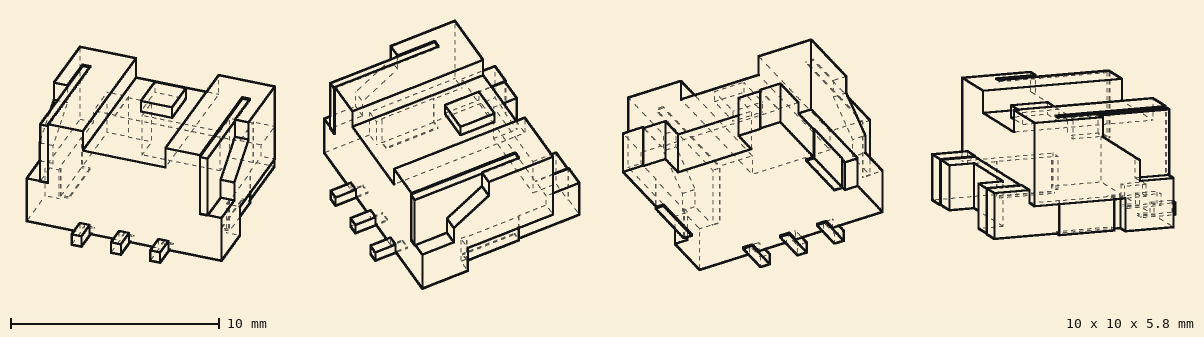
import cadquery as cq


width = 10.0
front_y = 1.1
housing_back_y = 8.2
bottom_z = 0.08
top_z = 5.8

base_half_width = 4.3
overhang_z = 1.7
overhang_front_y = 3.57

channel_width = 4.24
channel_z = 4.71
tab_width = 1.6
tab_front_y = 5.41
tab_length = 1.85
tab_top_z = 5.3

rear_y = 10.0
arm_top_z = 2.34
arm_inner_half_width = 3.2
middle_inset = 0.04
mouth_width = 4.0
mouth_y = 8.7

plate_thickness = 0.4
plate_proud = 0.04
plate_back_y = 6.73
plate_bottom_z = 2.5
plate_top_z = 5.72
cutout_low_y = 2.81
cutout_high_y = 4.71
cutout_slope_low_z = 3.51
cutout_slope_high_z = 4.83

foot_proud = 0.04
foot_front_y = 3.88
foot_length = 2.81

lead_count = 3
lead_pitch = 2.02
lead_width = 0.51
lead_length = 1.75
lead_height = 0.59

SIDES = (-1, 1)


def block(x_range, y_range, z_range):
    """Box spanning the given (low, high) ranges."""
    low, high = zip(x_range, y_range, z_range)
    size = [b - a for a, b in zip(low, high)]
    return cq.Workplane("XY").box(*size, centered=False).translate(low)


def centred_block(block_width, y_range, z_range):
    """Box centred across the connector."""
    return block((-block_width / 2, block_width / 2), y_range, z_range)


def side_block(side, inner_x, outer_x, y_range, z_range):
    """Box between two distances from the centre plane, on one side of it."""
    return block(sorted((side * inner_x, side * outer_x)), y_range, z_range)


def make_housing():
    housing = centred_block(width, (front_y, housing_back_y), (bottom_z, top_z))
    housing = housing.cut(centred_block(channel_width, (front_y, housing_back_y), (channel_z, top_z)))
    for side in SIDES:
        recess = side_block(
            side, base_half_width, width / 2, (overhang_front_y, housing_back_y), (bottom_z, overhang_z)
        )
        housing = housing.cut(recess)
    return housing


def make_tab():
    return centred_block(tab_width, (tab_front_y, tab_front_y + tab_length), (channel_z, tab_top_z))


def make_rear_base():
    rear = centred_block(
        2 * arm_inner_half_width,
        (housing_back_y, rear_y - middle_inset),
        (bottom_z, arm_top_z - middle_inset),
    )
    rear = rear.cut(centred_block(mouth_width, (mouth_y, rear_y), (bottom_z, arm_top_z)))
    for side in SIDES:
        arm = side_block(
            side, arm_inner_half_width, base_half_width, (housing_back_y, rear_y), (bottom_z, arm_top_z)
        )
        rear = rear.union(arm)
    return rear


def make_wall_cutout(side):
    """Stepped and sloped opening in the wall outside a retainer plate."""
    outline = [
        (front_y, plate_bottom_z),
        (cutout_low_y, plate_bottom_z),
        (cutout_low_y, cutout_slope_low_z),
        (cutout_high_y, cutout_slope_high_z),
        (cutout_high_y, top_z),
        (front_y, top_z),
    ]
    wall = width / 2 - base_half_width
    cutout = cq.Workplane("YZ").polyline(outline).close().extrude(wall)
    start_x = base_half_width if side > 0 else -width / 2
    return cutout.translate((start_x, 0, 0))


def plate_block(side, plate_front_y, upper_z):
    """Upright slab in the place of a retainer plate."""
    return side_block(
        side,
        base_half_width - plate_thickness,
        base_half_width,
        (plate_front_y, plate_back_y),
        (plate_bottom_z, upper_z),
    )


def make_plate(side):
    return plate_block(side, front_y - plate_proud, plate_top_z)


def make_plate_slot(side):
    return plate_block(side, front_y, top_z)


def make_foot(side):
    return side_block(
        side,
        base_half_width - plate_thickness,
        base_half_width + foot_proud,
        (foot_front_y, foot_front_y + foot_length),
        (0, overhang_z),
    )


def make_lead(index):
    lead_x = (index - (lead_count - 1) / 2) * lead_pitch
    return centred_block(lead_width, (0, lead_length), (0, lead_height)).translate((lead_x, 0, 0))


result = make_housing().union(make_tab()).union(make_rear_base())
for side in SIDES:
    result = result.cut(make_wall_cutout(side)).cut(make_plate_slot(side))
    result = result.union(make_plate(side)).union(make_foot(side))
for index in range(lead_count):
    result = result.union(make_lead(index))